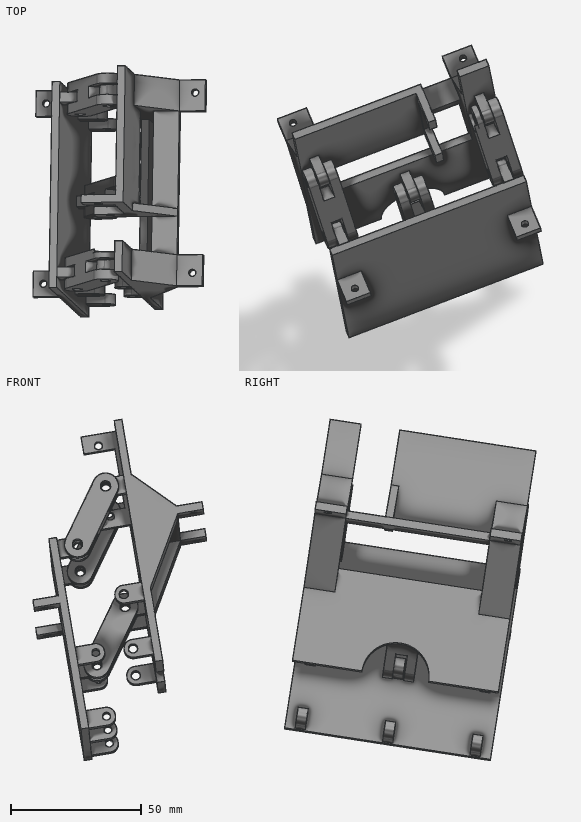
import cadquery as cq
import math


roll = -8.9
pitch = -9.5
yaw = -0.9

plate_width = 80.1
plate_thickness = 3.0
bay_width = 12.1
bay_centres = [bay_width / 2, plate_width / 2, plate_width - bay_width / 2]
near_bay, middle_bay, far_bay = bay_centres
tab_length = 10.0
tab_hole_diameter = 2.8
tab_hole_from_tip = 4.0
tab_hole_from_side = 5.0

lug_height = 7.0
lug_width = 4.0
lug_reach = 7.5
front_lug_hole_diameter = 3.0
rear_lug_hole_diameter = 3.5

link_height = 10.0
link_hole_spacing = 25.1
link_hole_diameter = 4.0
link_angle = 55.0
slot_width = 4.5
slot_depth = 7.5
relief_depth = 1.5

front_height = 75.1
front_lower_row = 4.0
front_middle_row = 29.0
front_upper_row = 71.2
front_tab_width = 10.0
front_tab_bottom = 49.6

rear_height = 95.1
rear_lower_row = 7.1
rear_upper_row = 70.7
rear_middle_row = rear_upper_row - (front_upper_row - front_middle_row)
shelf_top = 58.3
shelf_depth = 10.0
window_bottom = 38.1
gap_width = 15.0
arch_radius = 13.0
gusset_reach = 15.1
gusset_drop = 26.5
rib_start = bay_width + gap_width
rib_step = 1.3
leg_reach = 13.4
leg_height = 6.7
leg_hole_from_tip = 6.0
leg_hole_from_inner_edge = 2.2
leg_hole_diameter = 3.0

side_play = slot_width - lug_width
link_dx = link_hole_spacing * math.cos(math.radians(link_angle))
link_dz = link_hole_spacing * math.sin(math.radians(link_angle))
hinge_x = plate_thickness + lug_reach
rear_offset = (
    hinge_x + link_dx + lug_reach,
    -side_play,
    front_upper_row + link_dz - rear_upper_row,
)


def box(x0, x1, y0, y1, z0, z1):
    """Box between two opposite corners."""
    return cq.Workplane("XY").box(x1 - x0, y1 - y0, z1 - z0, centered=False).translate((x0, y0, z0))


def side_plane(y_start, width):
    """XZ plane whose extrusion by `width` runs back to y_start."""
    return cq.Workplane("XZ", origin=(0, y_start + width, 0))


def cross_hole(x, z, diameter, y_start, width):
    """Round cutter along y."""
    return side_plane(y_start, width).center(x, z).circle(diameter / 2).extrude(width)


def lug(face_x, direction, y_centre, z, hole_diameter):
    """Round-ended hinge lug on the plate face at face_x, pointing along x by direction +1 or -1."""
    y_start = y_centre - lug_width / 2
    hole_x = face_x + direction * lug_reach
    block = (
        side_plane(y_start, lug_width)
        .center((face_x + hole_x) / 2, z)
        .rect(lug_reach, lug_height)
        .extrude(lug_width)
    )
    tip = cross_hole(hole_x, z, lug_height, y_start, lug_width)
    return block.union(tip).cut(cross_hole(hole_x, z, hole_diameter, y_start, lug_width))


def tab(root_x, direction, y0, width, hole_y, z_bottom):
    """Flat tab with an upright hole, pointing along x by direction +1 or -1."""
    tip_x = root_x + direction * tab_length
    hole = (
        cq.Workplane("XY", origin=(tip_x - direction * tab_hole_from_tip, hole_y, z_bottom))
        .circle(tab_hole_diameter / 2)
        .extrude(plate_thickness)
    )
    x_low, x_high = sorted((root_x, tip_x))
    return box(x_low, x_high, y0, y0 + width, z_bottom, z_bottom + plate_thickness).cut(hole)


def make_front_plate():
    """Plain plate with tabs in front and hinge lugs behind."""
    plate = box(0, plate_thickness, 0, plate_width, 0, front_height)
    lug_places = [(y, front_lower_row) for y in bay_centres]
    lug_places += [(y, front_middle_row) for y in bay_centres]
    lug_places += [(y, front_upper_row) for y in (near_bay, far_bay)]
    for y, z in lug_places:
        plate = plate.union(lug(plate_thickness, 1, y, z, front_lug_hole_diameter))
    far_tab_start = plate_width - front_tab_width
    far_hole_y = plate_width - tab_hole_from_side
    plate = plate.union(tab(0, -1, 0, front_tab_width, tab_hole_from_side, front_tab_bottom))
    return plate.union(tab(0, -1, far_tab_start, front_tab_width, far_hole_y, front_tab_bottom))


def rear_sheet():
    """Sheet with a window opening upward into the gap, and an arch in its lower edge."""
    sheet = box(0, plate_thickness, 0, plate_width, 0, rear_height)
    window = box(0, plate_thickness, bay_width, plate_width - bay_width, window_bottom, shelf_top)
    gap = box(0, plate_thickness, bay_width, rib_start, shelf_top, rear_height)
    arch = (
        cq.Workplane("YZ", origin=(0, plate_width / 2, 0))
        .circle(arch_radius)
        .extrude(plate_thickness)
    )
    return sheet.cut(window).cut(gap).cut(arch)


def gusset(y_start):
    """Solid bracket behind the sheet, sloping at 45 degrees above the shelf."""
    back = plate_thickness
    apex = back + gusset_reach
    shelf_bottom = shelf_top - plate_thickness
    return (
        side_plane(y_start, bay_width)
        .moveTo(back, shelf_top + gusset_reach)
        .lineTo(apex, shelf_top)
        .lineTo(apex, shelf_bottom)
        .lineTo(back, shelf_bottom - gusset_drop)
        .close()
        .extrude(bay_width)
    )


def shelf():
    """Thin shelf bridging the two gussets."""
    tip = plate_thickness + gusset_reach
    far_end = plate_width - bay_width
    return box(tip - shelf_depth, tip, bay_width, far_end, shelf_top - plate_thickness, shelf_top)


def rib():
    """Upright rib on the panel's edge, with a drilled leg at each end and a web down to the shelf."""
    body = (
        side_plane(rib_start, plate_thickness)
        .moveTo(-leg_reach, rear_height)
        .lineTo(plate_thickness, rear_height)
        .lineTo(plate_thickness, shelf_top + gusset_reach)
        .lineTo(plate_thickness + gusset_reach, shelf_top)
        .lineTo(-leg_reach, shelf_top)
        .lineTo(-leg_reach, shelf_top + leg_height)
        .lineTo(-rib_step, shelf_top + leg_height)
        .lineTo(-rib_step, rear_height - leg_height)
        .lineTo(-leg_reach, rear_height - leg_height)
        .close()
        .extrude(plate_thickness)
    )
    hole_x = -leg_reach + leg_hole_from_tip
    edge_distance = leg_height - leg_hole_from_inner_edge
    for z in (shelf_top + edge_distance, rear_height - edge_distance):
        body = body.cut(cross_hole(hole_x, z, leg_hole_diameter, rib_start, plate_thickness))
    return body


def make_rear_plate():
    """Windowed plate with lugs in front, and gussets, shelf and tabs behind."""
    far_start = plate_width - bay_width
    tab_root = plate_thickness + gusset_reach
    tab_bottom = shelf_top - plate_thickness
    plate = rear_sheet().union(shelf()).union(rib())
    for y_start, hole_y in ((0, tab_hole_from_side), (far_start, plate_width - tab_hole_from_side)):
        plate = plate.union(gusset(y_start))
        plate = plate.union(tab(tab_root, 1, y_start, bay_width, hole_y, tab_bottom))
    lug_places = [(y, z) for y in (near_bay, far_bay) for z in (rear_lower_row, rear_upper_row)]
    lug_places += [(y, rear_middle_row) for y in (near_bay, middle_bay + side_play, far_bay)]
    for y, z in lug_places:
        plate = plate.union(lug(0, -1, y, z, rear_lug_hole_diameter))
    return plate.translate(rear_offset)


def make_link(y_centre, hinge_z):
    """Forked link that swings on the front plate's lug hole at height hinge_z."""
    half = link_hole_spacing / 2
    y_start = -bay_width / 2
    link = (
        side_plane(y_start, bay_width)
        .center(half, 0)
        .slot2D(link_hole_spacing + link_height, link_height)
        .extrude(bay_width)
    )
    slot_end = half + link_height
    for side in (-1, 1):
        x_low, x_high = sorted((half + side * (half - slot_depth), half + side * slot_end))
        link = link.cut(
            box(x_low, x_high, -slot_width / 2, slot_width / 2, -link_height / 2, link_height / 2)
        )
        link = link.cut(cross_hole(half + side * half, 0, link_hole_diameter, y_start, bay_width))
    link = link.rotate((0, 0, 0), (0, 1, 0), -link_angle)
    return link.translate((hinge_x, y_centre, hinge_z))


def relieve_upper_end(link, y_centre):
    """Thin the inner fork arm around the upper hole of a link on the upper row."""
    side_face = y_centre + bay_width / 2
    relief = cross_hole(
        hinge_x + link_dx,
        front_upper_row + link_dz,
        link_height,
        side_face - relief_depth,
        relief_depth,
    )
    return link.cut(relief)


def tilt(body):
    """Lean a body from the upright position into the linkage's attitude."""
    origin = (0, 0, 0)
    body = body.rotate(origin, (0, 0, 1), yaw)
    body = body.rotate(origin, (0, 1, 0), pitch)
    return body.rotate(origin, (1, 0, 0), roll)


front_plate = tilt(make_front_plate())
rear_plate = tilt(make_rear_plate())

near_link_y = near_bay - side_play / 2
link_places = [
    (near_link_y, front_upper_row),
    (far_bay - side_play / 2, front_upper_row),
    (middle_bay + side_play / 2, front_middle_row),
]
links = [make_link(y, z) for y, z in link_places]
links[0] = relieve_upper_end(links[0], near_link_y)
links = [tilt(link) for link in links]

result = cq.Compound.makeCompound(
    [front_plate.val(), rear_plate.val(), *[link.val() for link in links]]
)